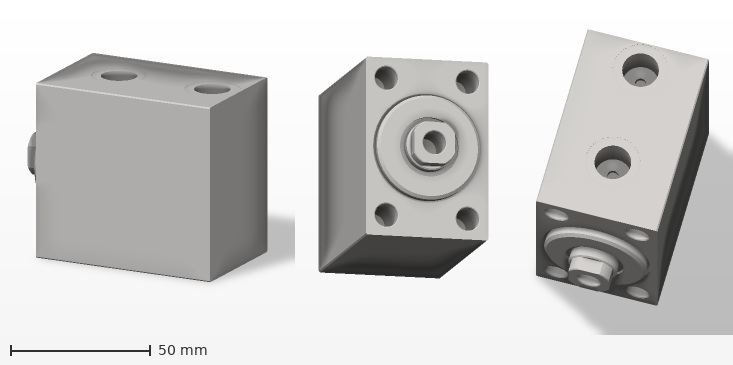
import cadquery as cq
import math


overall_length = 81.0

block_length = 70.0
block_width = 45.0
block_height = 65.0
block_edge_chamfer = 0.5

bore_diameter = 38.0
bore_depth = 63.2
bore_mouth_chamfer = 1.0

mount_spacing_y = 30.0
mount_spacing_z = 50.0
mount_hole_depth = 20.0
screw_hole_diameter = 8.4
screw_hole_chamfer = 0.3
drill_point_angle = 118.0

front_port_x = 21.95
port_pitch = 37.5
port_diameter = 13.1
port_depth = 12.0
port_seat_diameter = 20.0
port_seat_depth = 0.1
oil_hole_diameter = 4.05

gland_projection = 3.0
gland_rear_x = 23.6
gland_chamfer = 1.05
wiper_recess_diameter = 21.55
wiper_recess_depth = 1.0

rod_diameter = 18.0
rod_shoulder_x = -6.0
rod_shoulder_chamfer = 0.5
rod_tip_x = block_length - overall_length
rod_neck_diameter = rod_diameter - 2 * rod_shoulder_chamfer
rod_neck_chamfer = 0.3
wrench_flat_width = 15.0
rod_hole_depth = 15.0


def x_cylinder(diameter, x_start, x_end):
    """Cylinder along the X axis between two X positions."""
    return cq.Workplane("YZ", origin=(x_start, 0, 0)).circle(diameter / 2).extrude(x_end - x_start)


def screw_hole(x_face, depth):
    """Cutter for a chamfered blind hole running toward +X, with a drill-point bottom."""
    radius = screw_hole_diameter / 2
    mouth_radius = radius + screw_hole_chamfer
    point_length = radius / math.tan(math.radians(drill_point_angle / 2))
    half_profile = (
        cq.Workplane("XY")
        .moveTo(x_face, 0)
        .lineTo(x_face, mouth_radius)
        .lineTo(x_face + screw_hole_chamfer, radius)
        .lineTo(x_face + depth, radius)
        .lineTo(x_face + depth + point_length, 0)
        .close()
    )
    return half_profile.revolve(360, (0, 0, 0), (1, 0, 0))


def bore():
    """Cutter for the cylinder bore with its chamfered mouth."""
    radius = bore_diameter / 2
    half_profile = (
        cq.Workplane("XY")
        .lineTo(0, radius + bore_mouth_chamfer)
        .lineTo(bore_mouth_chamfer, radius)
        .lineTo(bore_depth, radius)
        .lineTo(bore_depth, 0)
        .close()
    )
    return half_profile.revolve(360, (0, 0, 0), (1, 0, 0))


def port(x):
    """Cutter for an oil port: shallow seat, port hole and oil hole down to the bore."""
    top = cq.Workplane("XY", origin=(x, 0, block_height / 2))
    seat = top.circle(port_seat_diameter / 2).extrude(-port_seat_depth)
    port_hole = top.circle(port_diameter / 2).extrude(-port_depth)
    oil_hole = top.circle(oil_hole_diameter / 2).extrude(-block_height / 2)
    return seat.union(port_hole).union(oil_hole)


def make_block():
    body = (
        cq.Workplane("XY")
        .box(block_length, block_width, block_height, centered=(False, True, True))
        .edges("|X")
        .chamfer(block_edge_chamfer)
        .cut(bore())
    )
    for side_y in (-1, 1):
        for side_z in (-1, 1):
            hole_position = (0, side_y * mount_spacing_y / 2, side_z * mount_spacing_z / 2)
            body = body.cut(screw_hole(0, mount_hole_depth).translate(hole_position))
    for x in (front_port_x, front_port_x + port_pitch):
        body = body.cut(port(x))
    return body


def make_gland():
    front_x = -gland_projection
    body = x_cylinder(bore_diameter, front_x, gland_rear_x).faces("<X").chamfer(gland_chamfer)
    wiper_recess = x_cylinder(wiper_recess_diameter, front_x, front_x + wiper_recess_depth)
    rod_passage = x_cylinder(rod_diameter, front_x, gland_rear_x)
    return body.cut(wiper_recess).cut(rod_passage)


def make_piston_rod():
    piston = x_cylinder(bore_diameter, gland_rear_x, bore_depth)
    rod = x_cylinder(rod_diameter, rod_shoulder_x, gland_rear_x).faces("<X").chamfer(rod_shoulder_chamfer)
    neck_length = rod_shoulder_x - rod_tip_x
    wrench_square = cq.Workplane("XY").box(
        neck_length, wrench_flat_width, wrench_flat_width, centered=(False, True, True)
    ).translate((rod_tip_x, 0, 0))
    neck = (
        x_cylinder(rod_neck_diameter, rod_tip_x, rod_shoulder_x)
        .faces("<X")
        .chamfer(rod_neck_chamfer)
        .intersect(wrench_square)
    )
    return piston.union(rod).union(neck).cut(screw_hole(rod_tip_x, rod_hole_depth))


block = make_block()
gland = make_gland()
piston_rod = make_piston_rod()

result = cq.Compound.makeCompound([block.val(), gland.val(), piston_rod.val()])